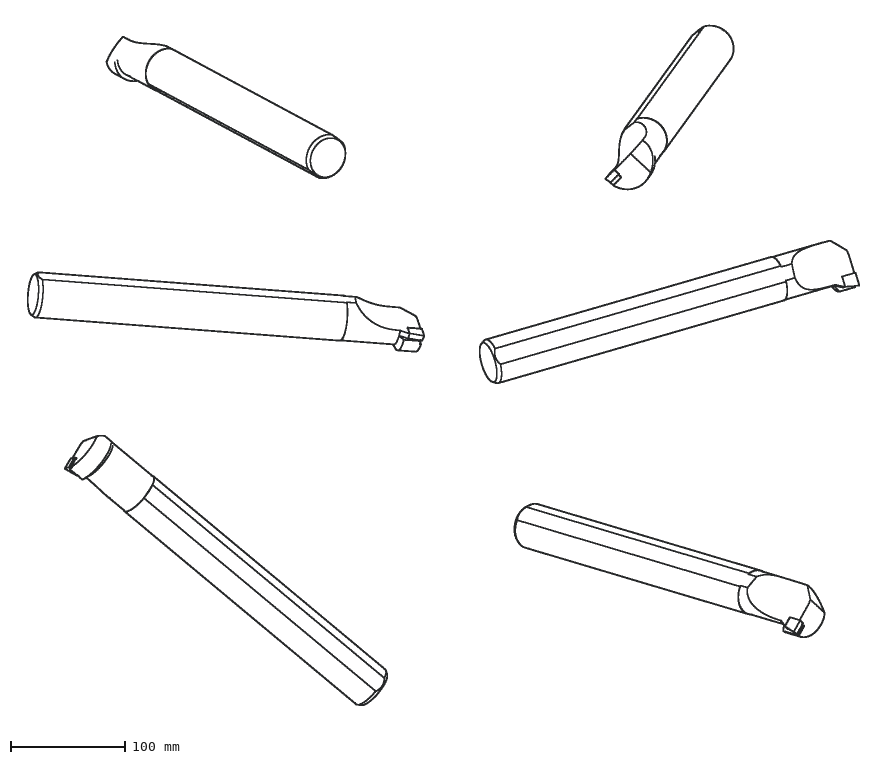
import cadquery as cq
import math

LENGTH = 350.0
HEAD_ROLL = -48.0
FLAT_ROLL = -41.0

SHANK_RADIUS = 20.0
SHANK_START = 69.5
END_CHAMFER_LENGTH = 3.5
END_CHAMFER_DEPTH = 2.0
FLAT_DISTANCE = 18.5
NECK_RADIUS = 19.5

FRONT_X = 1.0
HEAD_RADIUS = 22.8
HEAD_OFFSET = 3.32
HEAD_END = 17.5
BLEND_END = 20.5

RAKE_HEIGHT = 4.0
SWEEP_START = 24.0
SWEEP_RADIUS = 51.8

LAND_EDGE_Y = -2.8
CHAMFER_EDGE_Y = -7.0
LAND_SETBACK = 0.7
CORNER_CHAMFER_ANGLE = 45.0
RELIEF_HEIGHT = -5.0
RELIEF_ANGLE = 1.0

INSERT_LENGTH = 13.0
INSERT_BACK_Y = 14.0
INSERT_TIP_Y = 26.0
INSERT_SIDE_DROP = 2.5
INSERT_THICKNESS = 5.5
INSERT_RISE = 0.5
INSERT_TOP = RAKE_HEIGHT + INSERT_RISE
SEAT_HEIGHT = INSERT_TOP - INSERT_THICKNESS
INSERT_CLEARANCE = 7.0
SEAT_NOTCH_DEPTH = 1.0
SEAT_NOTCH_BACK_Y = 15.0

CUT_SIZE = 70.0


def rolled(body, angle):
    return body.rotate((0, 0, 0), (1, 0, 0), angle)


def cylinder_x(radius, start, end, offset=0.0):
    return cq.Workplane("YZ", origin=(start, offset, 0)).circle(radius).extrude(end - start)


def flat_cut(side, start, end):
    """Block outside one clamping flat: side is +1 for the rake side, -1 for the opposite side."""
    block = cq.Workplane("XY").box(
        end - start, CUT_SIZE, CUT_SIZE, centered=(False, True, True)
    )
    block = block.translate((start, 0, side * (FLAT_DISTANCE + CUT_SIZE / 2)))
    return rolled(block, FLAT_ROLL)


def make_shank():
    profile = [
        (SHANK_START, 0),
        (SHANK_START, SHANK_RADIUS),
        (LENGTH - END_CHAMFER_LENGTH, SHANK_RADIUS),
        (LENGTH, SHANK_RADIUS - END_CHAMFER_DEPTH),
        (LENGTH, 0),
    ]
    shank = cq.Workplane("XY").polyline(profile).close().revolve(360, (0, 0, 0), (1, 0, 0))
    for side in (1, -1):
        shank = shank.cut(flat_cut(side, SHANK_START, LENGTH))
    return shank


def chip_pocket():
    sweep_end = SWEEP_START + SWEEP_RADIUS
    sweep_centre_z = RAKE_HEIGHT + SWEEP_RADIUS
    middle = (
        SWEEP_START + SWEEP_RADIUS * math.sin(math.radians(45)),
        sweep_centre_z - SWEEP_RADIUS * math.cos(math.radians(45)),
    )
    return (
        cq.Workplane("XZ")
        .moveTo(-CUT_SIZE, RAKE_HEIGHT)
        .lineTo(SWEEP_START, RAKE_HEIGHT)
        .threePointArc(middle, (sweep_end, sweep_centre_z))
        .lineTo(-CUT_SIZE, sweep_centre_z)
        .close()
        .extrude(CUT_SIZE, both=True)
    )


def clearance_outline(setback):
    """Region in front of the head: front face, shallow land and corner chamfer, moved back by setback."""
    front_x = FRONT_X + setback
    chamfer_x = front_x + LAND_SETBACK
    chamfer_width = CUT_SIZE + CHAMFER_EDGE_Y
    chamfer_end_x = chamfer_x + chamfer_width * math.tan(math.radians(CORNER_CHAMFER_ANGLE))
    return [
        (front_x, CUT_SIZE),
        (front_x, LAND_EDGE_Y),
        (chamfer_x, CHAMFER_EDGE_Y),
        (chamfer_end_x, -CUT_SIZE),
        (-CUT_SIZE, -CUT_SIZE),
        (-CUT_SIZE, CUT_SIZE),
    ]


def front_clearance():
    """Cuts the front faces upright down to the relief height and leaning back below it."""
    relief_depth = CUT_SIZE + RELIEF_HEIGHT
    setback = relief_depth * math.tan(math.radians(RELIEF_ANGLE))
    upright = (
        cq.Workplane("XY", origin=(0, 0, RELIEF_HEIGHT))
        .polyline(clearance_outline(0)).close()
        .extrude(CUT_SIZE)
    )
    leaning = (
        cq.Workplane("XY", origin=(0, 0, RELIEF_HEIGHT))
        .polyline(clearance_outline(0)).close()
        .workplane(offset=-relief_depth)
        .polyline(clearance_outline(setback)).close()
        .loft(ruled=True)
    )
    return upright, leaning


def side_clearance():
    """Slopes the side of the head from the back end of the insert down to the neck."""
    outline = [
        (INSERT_LENGTH, INSERT_TIP_Y - INSERT_SIDE_DROP),
        (BLEND_END, NECK_RADIUS),
        (BLEND_END, CUT_SIZE),
        (INSERT_LENGTH, CUT_SIZE),
    ]
    return cq.Workplane("XY", origin=(0, 0, SEAT_HEIGHT)).polyline(outline).close().extrude(CUT_SIZE)


def make_insert():
    """Insert with its top just above the rake face, its front and side flanks tapering inward below."""
    flank = INSERT_THICKNESS * math.tan(math.radians(INSERT_CLEARANCE))

    def outline(inset):
        return [
            (inset, INSERT_BACK_Y),
            (inset, INSERT_TIP_Y - inset),
            (INSERT_LENGTH, INSERT_TIP_Y - INSERT_SIDE_DROP - inset),
            (INSERT_LENGTH, INSERT_BACK_Y),
        ]

    return (
        cq.Workplane("XY", origin=(0, 0, INSERT_TOP))
        .polyline(outline(0)).close()
        .workplane(offset=-INSERT_THICKNESS)
        .polyline(outline(flank)).close()
        .loft(ruled=True)
    )


def insert_pocket():
    """Seat for the insert, open at the front and side, with a shallow notch below its front edge."""
    seat = cq.Workplane("XY").box(INSERT_LENGTH, CUT_SIZE, CUT_SIZE, centered=False)
    seat = seat.translate((0, INSERT_BACK_Y, SEAT_HEIGHT))
    notch = cq.Workplane("XY").box(
        FRONT_X + SEAT_NOTCH_DEPTH, CUT_SIZE, SEAT_HEIGHT - RELIEF_HEIGHT, centered=False
    )
    return seat.union(notch.translate((0, SEAT_NOTCH_BACK_Y, RELIEF_HEIGHT)))


def make_head():
    blend = (
        cq.Workplane("YZ", origin=(HEAD_END, 0, 0))
        .center(HEAD_OFFSET, 0).circle(HEAD_RADIUS)
        .workplane(offset=BLEND_END - HEAD_END)
        .center(-HEAD_OFFSET, 0).circle(NECK_RADIUS)
        .loft(ruled=True)
    )
    head = cylinder_x(HEAD_RADIUS, FRONT_X, HEAD_END, HEAD_OFFSET).union(blend)
    head = head.union(cylinder_x(NECK_RADIUS, BLEND_END, SHANK_START))
    for cutter in (chip_pocket(), *front_clearance(), side_clearance(), insert_pocket()):
        head = head.cut(cutter)
    return rolled(head, HEAD_ROLL).cut(flat_cut(1, BLEND_END, SHANK_START))


holder = make_shank().union(make_head())
insert = rolled(make_insert(), HEAD_ROLL)

result = cq.Compound.makeCompound([holder.solids().val(), insert.val()])